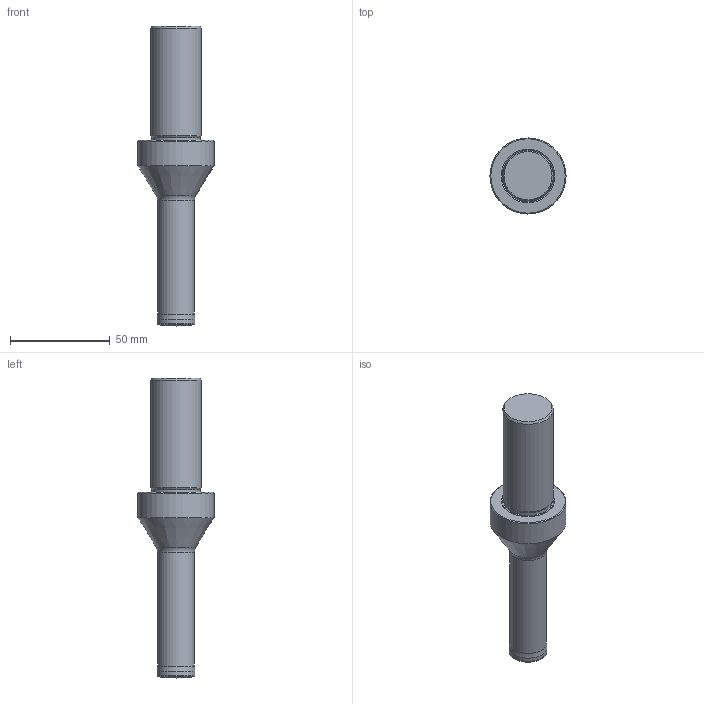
import cadquery as cq
import math

total_height = 150.11
collar_top = 92.9
collar_height = 12.7
collar_bottom = collar_top - collar_height

shank_radius = 12.7
shank_bottom = 95.2
shank_chamfer_width = 0.65
shank_chamfer_height = 1.2
neck_radius = 12.15
neck_top = 94.3
groove_depth = 0.3
groove_floor = collar_top - groove_depth
groove_floor_radius = 12.9
groove_outer_radius = 13.4

collar_radius = 19.05
collar_chamfer = 0.45
cone_bottom = 64.2
cone_fillet = 4.4

stem_radius = 9.25
flare_top = 6.0
land_top = 3.3
land_radius = 9.5

tip_top = 1.4
tip_rim_bottom = 0.9
tip_point_radius = 7.4
tip_point_height = 0.3

cone_angle = math.atan2(collar_radius - stem_radius, collar_bottom - cone_bottom)
fillet_setback = cone_fillet * math.tan(cone_angle / 2)
fillet_start = (stem_radius, cone_bottom - fillet_setback)
fillet_end = (
    stem_radius + fillet_setback * math.sin(cone_angle),
    cone_bottom + fillet_setback * math.cos(cone_angle),
)

flare_width = land_radius - stem_radius
flare_height = flare_top - land_top
flare_arc = (flare_width**2 + flare_height**2) / (2 * flare_width)


def revolve_about_axis(profile):
    return profile.close().revolve(360, (0, 0), (0, 1))


def make_holder():
    profile = (
        cq.Workplane("XZ")
        .moveTo(0, tip_top)
        .lineTo(land_radius, tip_top)
        .lineTo(land_radius, land_top)
        .radiusArc((stem_radius, flare_top), flare_arc)
        .lineTo(*fillet_start)
        .radiusArc(fillet_end, cone_fillet)
        .lineTo(collar_radius, collar_bottom)
        .lineTo(collar_radius, collar_top - collar_chamfer)
        .lineTo(collar_radius - collar_chamfer, collar_top)
        .lineTo(groove_outer_radius, collar_top)
        .lineTo(groove_floor_radius, groove_floor)
        .lineTo(neck_radius, groove_floor)
        .lineTo(neck_radius, neck_top)
        .lineTo(shank_radius, shank_bottom)
        .lineTo(shank_radius, total_height - shank_chamfer_height)
        .lineTo(shank_radius - shank_chamfer_width, total_height)
        .lineTo(0, total_height)
    )
    return revolve_about_axis(profile)


def make_tip():
    profile = (
        cq.Workplane("XZ")
        .moveTo(0, 0)
        .lineTo(tip_point_radius, tip_point_height)
        .lineTo(land_radius, tip_rim_bottom)
        .lineTo(land_radius, tip_top)
        .lineTo(0, tip_top)
    )
    return revolve_about_axis(profile)


holder = make_holder()
tip = make_tip()
result = cq.Compound.makeCompound([holder.val(), tip.val()])